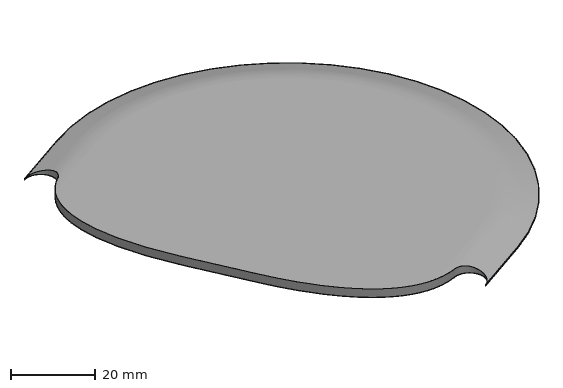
import cadquery as cq
import math

outer_radius = 60.0
front_y = -39.5
thickness = 2.4
rim_thickness = 0.4

bevel_top_radius = 52.1
blend_length = 2.4
bevel_angle = math.atan2(thickness - rim_thickness, outer_radius - bevel_top_radius)
flat_radius = bevel_top_radius - blend_length
blend_outer_radius = bevel_top_radius + blend_length * math.cos(bevel_angle)
blend_outer_z = thickness - blend_length * math.sin(bevel_angle)

front_half_width = 10.0
notch_radius = 4.2
notch_x = outer_radius - notch_radius
notch_y = -19.0
notch_end_angle = math.radians(9)
front_handle = 21.8
notch_handle = 15.1


def mirrored(point):
    return (-point[0], point[1])


def make_outline():
    """Plan outline of the plate as a full-height prism."""
    notch_tip = (outer_radius, notch_y)
    notch_top = (notch_x, notch_y + notch_radius)
    notch_end = (
        notch_x - notch_radius * math.cos(notch_end_angle),
        notch_y + notch_radius * math.sin(notch_end_angle),
    )
    notch_control = (
        notch_end[0] - notch_handle * math.sin(notch_end_angle),
        notch_end[1] - notch_handle * math.cos(notch_end_angle),
    )
    front_control = (front_half_width + front_handle, front_y)
    front_end = (front_half_width, front_y)
    right_corner = [notch_end, notch_control, front_control, front_end]
    left_corner = [mirrored(point) for point in reversed(right_corner)]

    return (
        cq.Workplane("XY")
        .moveTo(-outer_radius, 0)
        .threePointArc((0, outer_radius), (outer_radius, 0))
        .lineTo(*notch_tip)
        .threePointArc(notch_top, notch_end)
        .bezier(right_corner)
        .lineTo(*mirrored(front_end))
        .bezier(left_corner)
        .threePointArc(mirrored(notch_top), mirrored(notch_tip))
        .close()
        .extrude(thickness)
    )


def half_section():
    """Cross-section from the centre line out to the rim, in the XZ plane."""
    return (
        cq.Workplane("XZ")
        .lineTo(outer_radius, 0)
        .lineTo(outer_radius, rim_thickness)
        .lineTo(blend_outer_radius, blend_outer_z)
        .tangentArcPoint((flat_radius, thickness), relative=False)
        .lineTo(0, thickness)
        .close()
    )


def make_bevelled_blank():
    """Half-round bevelled end joined to a straight bevelled front."""
    round_end = half_section().revolve(180, (0, 0, 0), (0, 1, 0))
    right_side = half_section().extrude(-front_y)
    left_side = right_side.mirror("YZ")
    return round_end.union(right_side).union(left_side)


result = make_bevelled_blank().intersect(make_outline())